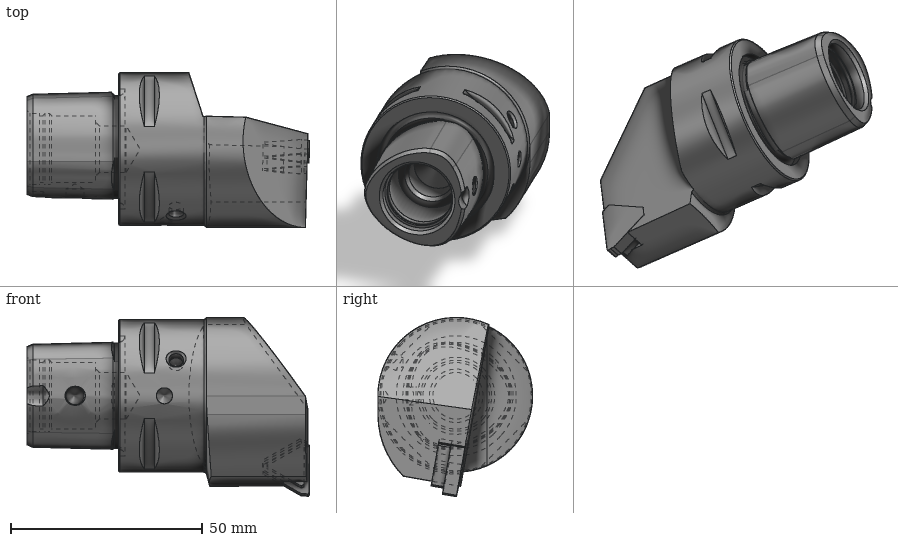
import cadquery as cq
import math


shank_length = 24.0
polygon_radius = 14.05
polygon_eccentricity = 0.9
lobe_count = 3
lobe_half_angle = 27.5
spline_steps = 6
taper_per_side = 1 / 40
neck_length = 1.5
neck_relief = 0.25
neck_radius = 14.0
neck_groove_length = 1.0
neck_groove_depth = 2.0
nose_length = 1.6
nose_inset = 0.68

recess_radius = 15.7
recess_depth = 1.7

bore_steps = [(0, 10.1), (0.9, 9.3), (3.3, 9.3), (3.3, 8.7), (4.2, 8.7), (4.7, 9.3), (6.0, 9.3),
              (6.5, 8.7), (18.0, 8.7), (18.0, 7.0), (19.0, 6.1), (26.0, 6.1)]
drill_point_angle = 118.0

flange_radius = 20.0
flange_length = 22.3
flange_chamfer = 0.35
shoulder_start = 18.4
shoulder_angle = 18.0

slot_x = 8.04
slot_floor_distance = 17.7
slot_floor_width = 2.6
slot_side_angle = 30.0
slot_count = 4
slot_start_angle = 45.0

hole_cone_half_angle = drill_point_angle / 2
shank_hole_x = -11.4
shank_hole_radius = 2.35
shank_hole_mouth_radius = 2.65
shank_hole_depth = 2.4
chip_hole_x = 12.0
chip_hole_radius = 2.1
chip_hole_depth = 1.0
nozzle_hole_x = 15.05
nozzle_hole_angle = 29.0
nozzle_hole_radius = 1.9
nozzle_hole_mouth_radius = 2.6
nozzle_hole_depth = 3.0
end_notch_radius = 3.2
end_notch_y = -14.3
end_notch_length = 4.3

head_radius = 20.5
head_blend_end = 23.0
head_blend_radius = 1.0
back_cone_angle = 15.0
head_side_height = 4.9
head_lower_radius = 22.84
head_corner_y = -13.8
head_bottom_angle = 10.0
slant_normal = (1.40, 0.104, 1.0)
slant_point = (48.8, -head_radius, 0.0)

tip = (49.94, 0.0, -26.41)
seat_tilt = 10.0
seat_turn = 1.5
end_face_inset = 0.5

insert_side = 16.5
insert_thickness = 3.7
insert_overrun = 1.02
insert_corner_clip = 2.5
tooth_height = 0.25
tooth_width = 0.4
tooth_root_width = 1.1
shim_inset = 1.3
shim_corner_clip = 0.8
shim_thickness = 3.3

cutter_size = 100.0


def polygon_point(angle, radius):
    """Point (Y, Z) of the polygon; its support distance is radius + e * cos(lobe_count * angle)."""
    support = radius + polygon_eccentricity * math.cos(lobe_count * angle)
    slope = -lobe_count * polygon_eccentricity * math.sin(lobe_count * angle)
    y = support * math.cos(angle) - slope * math.sin(angle)
    z = support * math.sin(angle) + slope * math.cos(angle)
    return y, z


def polygon_edge(x, radius, start, end):
    angles = [start + (end - start) * step / spline_steps for step in range(spline_steps + 1)]
    points = [cq.Vector(x, *polygon_point(angle, radius)) for angle in angles]
    tangents = [cq.Vector(0, -math.sin(angle), math.cos(angle)) for angle in (start, end)]
    return cq.Edge.makeSpline(points, tangents=tangents)


def polygon_wire(x, radius):
    """Closed wire of one rounded stretch per lobe and one flatter stretch between lobes."""
    half = math.radians(lobe_half_angle)
    pitch = 2 * math.pi / lobe_count
    edges = []
    for lobe in range(lobe_count):
        center = lobe * pitch
        edges.append(polygon_edge(x, radius, center - half, center + half))
        edges.append(polygon_edge(x, radius, center + half, center + pitch - half))
    return cq.Wire.assembleEdges(edges)


def polygon_section(x_start, radius_start, x_end, radius_end):
    start = polygon_wire(x_start, radius_start)
    end = polygon_wire(x_end, radius_end)
    return cq.Workplane(cq.Solid.makeLoft([start, end], True))


def revolve_about_x(profile):
    return profile.close().revolve(360, (0, 0, 0), (1, 0, 0))


def seat_plane():
    """X along the end edge's normal, Y up the end edge, Z from the rake face into the head."""
    turn = math.radians(seat_turn)
    tilt = math.radians(seat_tilt)
    x_direction = cq.Vector(math.cos(turn), -math.sin(turn), 0)
    up = cq.Vector(math.sin(tilt) * math.sin(turn), math.sin(tilt) * math.cos(turn), math.cos(tilt))
    return cq.Plane(tip, x_direction.toTuple(), x_direction.cross(up).toTuple())


def make_shank():
    nose_x = -shank_length + nose_length
    neck_x = -neck_length
    nose_radius = polygon_radius - (shank_length - nose_length) * taper_per_side
    neck_start_radius = polygon_radius - neck_length * taper_per_side
    nose = polygon_section(-shank_length, nose_radius - nose_inset, nose_x, nose_radius)
    taper = polygon_section(nose_x, nose_radius, neck_x, neck_start_radius)
    neck_polygon_radius = polygon_radius - neck_relief
    neck = polygon_section(neck_x, neck_polygon_radius, 0, neck_polygon_radius)
    groove_top = neck_radius + neck_groove_depth
    groove = revolve_about_x(
        cq.Workplane("XY")
        .moveTo(-neck_groove_length, neck_radius)
        .lineTo(0, neck_radius)
        .lineTo(0, groove_top)
        .lineTo(-neck_groove_length - neck_groove_depth, groove_top)
    )
    return nose.union(taper).union(neck).cut(groove)


def make_flange():
    flange = revolve_about_x(
        cq.Workplane("XY")
        .lineTo(0, flange_radius - flange_chamfer)
        .lineTo(flange_chamfer, flange_radius)
        .lineTo(flange_length, flange_radius)
        .lineTo(flange_length, 0)
    )
    recess = revolve_about_x(
        cq.Workplane("XY")
        .moveTo(0, recess_radius - recess_depth)
        .radiusArc((recess_depth, recess_radius), -recess_depth)
        .lineTo(0, recess_radius)
    )
    return flange.cut(recess)


def make_head():
    lower_center_y = head_lower_radius - head_radius
    corner_dy = head_corner_y - lower_center_y
    corner_dz = -math.sqrt(head_lower_radius**2 - corner_dy**2)
    corner_z = corner_dz - head_side_height
    middle_angle = (math.atan2(corner_dz, corner_dy) - math.pi) / 2
    arc_middle = (
        lower_center_y + head_lower_radius * math.cos(middle_angle),
        -head_side_height + head_lower_radius * math.sin(middle_angle),
    )
    bottom_drop = (head_radius - head_corner_y) * math.tan(math.radians(head_bottom_angle))
    outline = (
        cq.Workplane("YZ", origin=(flange_length, 0, 0))
        .moveTo(head_radius, 0)
        .threePointArc((0, head_radius), (-head_radius, 0))
        .lineTo(-head_radius, -head_side_height)
        .threePointArc(arc_middle, (head_corner_y, corner_z))
        .lineTo(head_radius, corner_z - bottom_drop)
        .close()
        .extrude(tip[0] - flange_length)
    )
    cone_outer = 2 * head_radius
    cone_end = head_blend_end + (cone_outer - head_radius) * math.tan(math.radians(back_cone_angle))
    back_limit = revolve_about_x(
        cq.Workplane("XY")
        .moveTo(flange_length, 0)
        .lineTo(flange_length, flange_radius)
        .radiusArc((head_blend_end, head_radius), -head_blend_radius)
        .lineTo(cone_end, cone_outer)
        .lineTo(cutter_size, cone_outer)
        .lineTo(cutter_size, 0)
    )
    return outline.intersect(back_limit)


def above_rake():
    """Space on the cutting side of the flat that is flush with the rake face."""
    return cq.Workplane(seat_plane()).rect(3 * cutter_size, 3 * cutter_size).extrude(-cutter_size)


def cut_shoulder(flange):
    shoulder_run = 2 * cutter_size * math.tan(math.radians(shoulder_angle))
    behind_shoulder = (
        cq.Workplane("XY", origin=(0, 0, -cutter_size))
        .moveTo(shoulder_start, flange_radius)
        .lineTo(shoulder_start + shoulder_run, flange_radius - 2 * cutter_size)
        .lineTo(shoulder_start + shoulder_run, flange_radius)
        .close()
        .extrude(2 * cutter_size)
    )
    return flange.cut(above_rake().intersect(behind_shoulder))


def cut_head_faces(head):
    """Rake side flat, end face and slanted top."""
    past_end = (
        cq.Workplane(seat_plane())
        .center(cutter_size / 2 - end_face_inset, 0)
        .rect(cutter_size, 2 * cutter_size)
        .extrude(cutter_size, both=True)
    )
    slant = cq.Plane(slant_point, normal=slant_normal)
    above_slant = cq.Workplane(slant).rect(2 * cutter_size, 2 * cutter_size).extrude(cutter_size)
    return head.cut(above_rake()).cut(past_end).cut(above_slant)


def make_bore():
    profile = cq.Workplane("XY", origin=(-shank_length, 0, 0))
    for depth, radius in bore_steps:
        profile = profile.lineTo(depth, radius)
    end_depth, end_radius = bore_steps[-1]
    return (
        profile.lineTo(end_depth + cone_height(end_radius), 0)
        .close()
        .revolve(360, (0, 0, 0), (1, 0, 0))
    )


def cone_height(radius):
    return radius / math.tan(math.radians(hole_cone_half_angle))


def radial_hole(x, surface, radius, depth, mouth_radius, angle=0.0):
    """Drill into the -Y side with a 45 degree countersink, turned about X by angle."""
    inner = surface - depth
    sink = mouth_radius - radius
    clearance = 1.0
    drill = (
        cq.Workplane("XY", origin=(x, 0, 0))
        .moveTo(0, -inner + cone_height(radius))
        .lineTo(radius, -inner)
        .lineTo(radius, -surface + sink)
        .lineTo(mouth_radius + clearance, -surface - clearance)
        .lineTo(0, -surface - clearance)
        .close()
        .revolve(360, (0, 0, 0), (0, 1, 0))
    )
    return drill.rotate((0, 0, 0), (1, 0, 0), -angle)


def make_end_notch():
    """Groove along X with a 90 degree drill point."""
    notch = revolve_about_x(
        cq.Workplane("XY")
        .lineTo(0, end_notch_radius)
        .lineTo(end_notch_length, end_notch_radius)
        .lineTo(end_notch_length + end_notch_radius, 0)
    )
    return notch.translate((-shank_length, end_notch_y, 0))


def make_slot(angle):
    clearance = 1.0
    height = flange_radius - slot_floor_distance + clearance
    mouth_width = slot_floor_width + 2 * height * math.tan(math.radians(slot_side_angle))
    slot = (
        cq.Workplane("XZ", origin=(slot_x, flange_radius, slot_floor_distance))
        .moveTo(-slot_floor_width / 2, 0)
        .lineTo(slot_floor_width / 2, 0)
        .lineTo(mouth_width / 2, height)
        .lineTo(-mouth_width / 2, height)
        .close()
        .extrude(2 * flange_radius)
    )
    return slot.rotate((0, 0, 0), (1, 0, 0), angle)


def triangle_points(inset, clip):
    """Clipped triangle, counter-clockwise from the lower end of the end edge."""
    side = insert_side - 2 * math.sqrt(3) * inset
    low = -insert_overrun + math.sqrt(3) * inset
    corners = [
        cq.Vector(-inset, low),
        cq.Vector(-inset, low + side),
        cq.Vector(-inset - side * math.sqrt(3) / 2, low + side / 2),
    ]
    points = []
    for start, end in zip(corners, corners[1:] + corners[:1]):
        step = (end - start).normalized() * clip
        points.append((start + step).toTuple()[:2])
        points.append((end - step).toTuple()[:2])
    return points


def make_insert():
    blank = cq.Workplane(seat_plane()).polyline(triangle_points(0, insert_corner_clip)).close()
    tooth = (
        cq.Workplane(seat_plane())
        .moveTo(0, insert_corner_clip)
        .lineTo(0, tooth_width)
        .lineTo(-tooth_width, 0)
        .lineTo(-tooth_root_width, tooth_height)
        .lineTo(-insert_corner_clip * math.sqrt(3) / 2, tooth_height)
        .close()
        .extrude(insert_thickness)
    )
    return blank.extrude(insert_thickness).union(tooth)


def make_shim():
    return (
        cq.Workplane(seat_plane())
        .workplane(offset=insert_thickness)
        .polyline(triangle_points(shim_inset, shim_corner_clip))
        .close()
        .extrude(shim_thickness)
    )


def make_seat_pocket():
    """Recess that takes the insert with the shim under it."""
    outline = cq.Workplane(seat_plane()).polyline(triangle_points(0, insert_corner_clip)).close()
    return outline.extrude(insert_thickness + shim_thickness)


def make_holder(insert):
    flange = cut_shoulder(make_flange())
    holder = flange.union(make_shank()).union(cut_head_faces(make_head()))
    holder = holder.cut(make_bore()).cut(make_end_notch())
    for index in range(slot_count):
        holder = holder.cut(make_slot(slot_start_angle + 360 / slot_count * index))
    shank_side = polygon_radius - polygon_eccentricity + shank_hole_x * taper_per_side
    holder = holder.cut(radial_hole(shank_hole_x, shank_side, shank_hole_radius,
                                    shank_hole_depth, shank_hole_mouth_radius))
    holder = holder.cut(radial_hole(chip_hole_x, flange_radius, chip_hole_radius,
                                    chip_hole_depth, chip_hole_radius))
    holder = holder.cut(radial_hole(nozzle_hole_x, flange_radius, nozzle_hole_radius,
                                    nozzle_hole_depth, nozzle_hole_mouth_radius, nozzle_hole_angle))
    return holder.cut(make_seat_pocket()).cut(insert)


insert = make_insert()
shim = make_shim()
holder = make_holder(insert)

result = cq.Compound.makeCompound([body.solids().val() for body in (holder, insert, shim)])